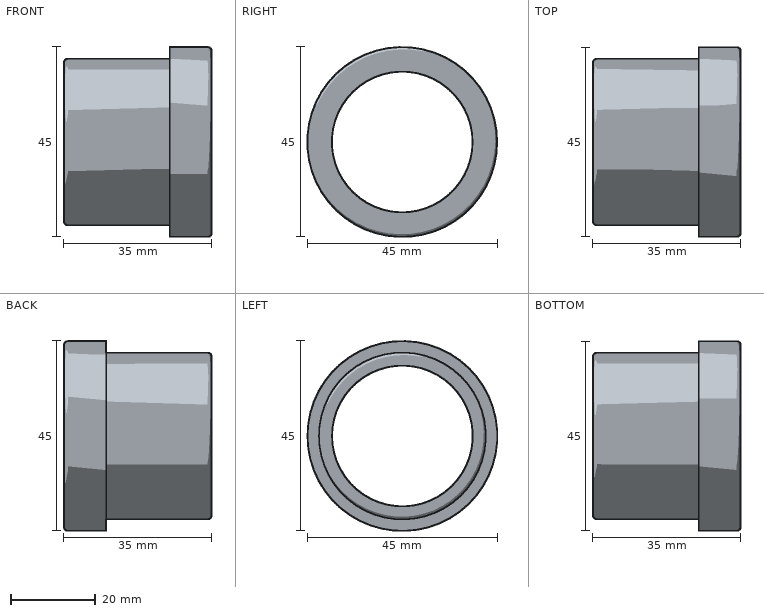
import cadquery as cq

total_length = 35.0
flange_diameter = 45.0
flange_thickness = 10.0
sleeve_diameter = 39.5
bore_diameter = 33.25
edge_radius = 1.0

sleeve_length = total_length - flange_thickness

sleeve = (
    cq.Workplane("YZ")
    .circle(sleeve_diameter / 2)
    .extrude(sleeve_length)
    .faces("<X")
    .edges()
    .fillet(edge_radius)
)

flange = (
    cq.Workplane("YZ", origin=(sleeve_length, 0, 0))
    .circle(flange_diameter / 2)
    .extrude(flange_thickness)
    .faces(">X")
    .edges()
    .fillet(edge_radius)
)

bore = cq.Workplane("YZ").circle(bore_diameter / 2).extrude(total_length)

result = sleeve.union(flange).cut(bore)